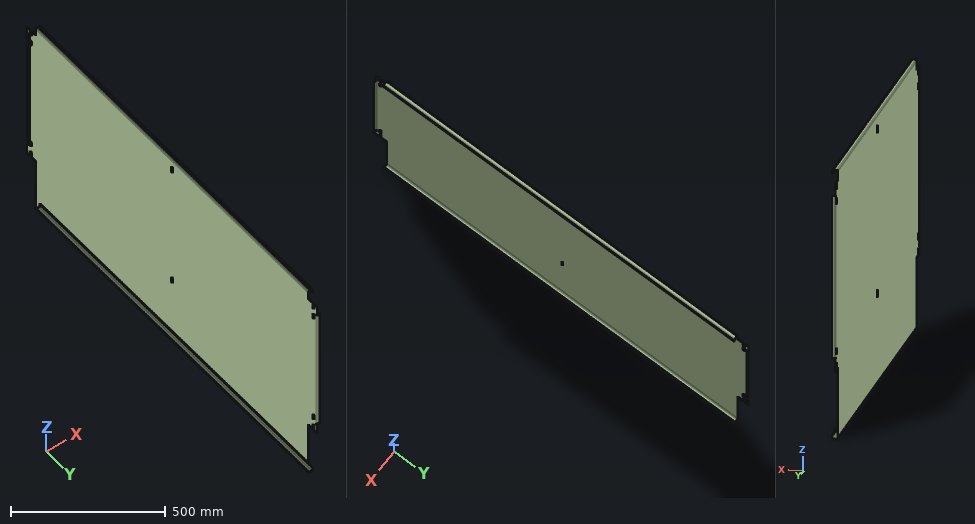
import cadquery as cq

depth = 20.0
length = 1521.0
height = 903.0
sheet = 2.0
bend_radius = 5.0

body_length = 1430.0
tab_top = 418.0
tab_bottom = -213.0

lip_height = 14.0
side_flange_depth = 12.0
side_flange_top = 375.0
side_flange_bottom = -169.0

slot_y = 740.0
slot_width = 9.0
notch_depth = 25.0
end_slot_length = 18.0
upper_end_slot_z = 355.0
lower_end_slot_z = -149.0
middle_slot_width = 6.0
middle_slot_length = 23.0
middle_slot_heights = (403.0, -148.0)


def box_between(x_range, y_range, z_range):
    """Box given by its lower and upper limits along each axis."""
    (x0, x1), (y0, y1), (z0, z1) = x_range, y_range, z_range
    return cq.Workplane("XY").box(x1 - x0, y1 - y0, z1 - z0, centered=False).translate((x0, y0, z0))


def folded_body():
    """Main sheet with channel-shaped hems along its top and bottom edges."""
    half = height / 2
    outside = (
        cq.Workplane("XZ")
        .rect(depth, height)
        .extrude(body_length / 2, both=True)
        .translate((depth / 2, 0, 0))
        .edges("|Y")
        .fillet(bend_radius)
    )
    inside = (
        cq.Workplane("XZ")
        .rect(depth - 2 * sheet, height - 2 * sheet)
        .extrude(body_length / 2, both=True)
        .translate((depth / 2, 0, 0))
        .edges("|Y")
        .fillet(bend_radius - sheet)
    )
    lip_gap = box_between(
        (depth / 2, depth),
        (-body_length / 2, body_length / 2),
        (lip_height - half, half - lip_height),
    )
    return outside.cut(inside).cut(lip_gap)


def end_tabs():
    """Flat sheet reaching past both ends of the body."""
    return box_between((0, sheet), (-length / 2, length / 2), (tab_bottom, tab_top))


def side_flange_solid(inset):
    """Rounded block whose outer faces lie an inset inside the side flanges."""
    return (
        box_between(
            (inset, side_flange_depth + bend_radius),
            (inset - length / 2, length / 2 - inset),
            (side_flange_bottom, side_flange_top),
        )
        .edges("|Z and <X")
        .fillet(bend_radius - inset)
    )


def add_side_flanges(panel):
    """Replace the plain tab ends between the flange limits with folded ends."""
    z_range = (side_flange_bottom, side_flange_top)
    tray = side_flange_solid(0).cut(side_flange_solid(sheet))
    tray = tray.intersect(box_between((0, side_flange_depth), (-length / 2, length / 2), z_range))
    for side in (-1, 1):
        y_limits = sorted((side * (length / 2 - bend_radius), side * length / 2))
        panel = panel.cut(box_between((0, sheet), y_limits, z_range))
    return panel.union(tray)


def slot(y, z, width, slot_length):
    """Vertical round-ended cutter through the main sheet."""
    return (
        cq.Workplane("YZ")
        .center(y, z)
        .slot2D(slot_length, width, 90)
        .extrude(sheet)
    )


def cut_openings(panel):
    """Open notches and closed slots at both ends, and two slots on the middle line."""
    for y in (-slot_y, slot_y):
        for z in (tab_top, tab_bottom):
            panel = panel.cut(slot(y, z, slot_width, 2 * notch_depth))
        for z in (upper_end_slot_z, lower_end_slot_z):
            panel = panel.cut(slot(y, z, slot_width, end_slot_length))
    for z in middle_slot_heights:
        panel = panel.cut(slot(0, z, middle_slot_width, middle_slot_length))
    return panel


panel = folded_body().union(end_tabs())
result = cut_openings(add_side_flanges(panel))